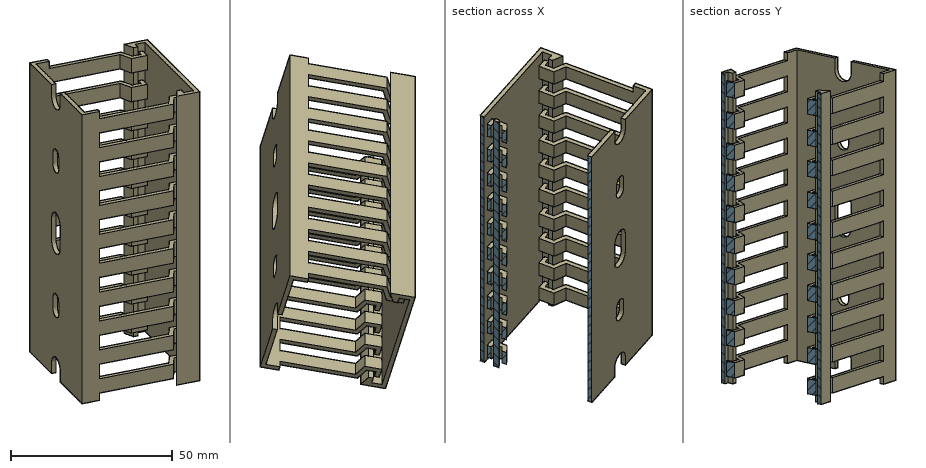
import cadquery as cq
import math

WIDTH = 40.0
DEPTH = 40.0
LENGTH = 100.0
WALL = 1.5

HALF_WIDTH = WIDTH / 2
FRONT = -DEPTH / 2
BACK = DEPTH / 2

FINGER_COUNT = 10
FINGER_PITCH = LENGTH / FINGER_COUNT
FINGER_HEIGHT = FINGER_PITCH / 2
SKIRT_DEPTH = 6.0

LIP_SLOPE = 0.5
COVER_SIDE_DEPTH = 8.0
LIP_WIDTH = 3.5
COVER_FRONT = BACK - COVER_SIDE_DEPTH
LIP_INNER_X = HALF_WIDTH - LIP_WIDTH
LIP_FRONT = COVER_FRONT + LIP_WIDTH * LIP_SLOPE
LIP_BACK = LIP_FRONT + WALL

SIDE_CLEARANCE = 0.5
END_CLEARANCE = 1.0
TIP_BACK = BACK - WALL - END_CLEARANCE
HOOK_FRONT = TIP_BACK - WALL
HOOK_X = HALF_WIDTH - WALL - SIDE_CLEARANCE
JOG_OUTER_X = LIP_INNER_X - SIDE_CLEARANCE
JOG_INNER_X = JOG_OUTER_X - WALL
JOG_OUTER_START = COVER_FRONT - END_CLEARANCE
JOG_OUTER_END = JOG_OUTER_START + (HALF_WIDTH - JOG_OUTER_X) * LIP_SLOPE

JOG_WALL_IN_Y = WALL * math.hypot(1, LIP_SLOPE)
JOG_INNER_START = JOG_OUTER_START + WALL * LIP_SLOPE - JOG_WALL_IN_Y
JOG_INNER_END = JOG_OUTER_END + WALL * LIP_SLOPE - JOG_WALL_IN_Y

LARGE_SLOT_WIDTH = 6.5
LARGE_SLOT_LENGTH = 14.0
SMALL_SLOT_WIDTH = 4.5
SMALL_SLOT_LENGTH = 8.0
SLOT_SPACING = LENGTH / 4


def extrude_mirrored(right_half):
    """Extrude the outline made of the given right half and its mirror image in X."""
    left_half = [(-x, y) for x, y in reversed(right_half)]
    outline = cq.Workplane("XY").polyline(right_half + left_half).close()
    return outline.extrude(LENGTH / 2, both=True)


def finger_gaps():
    """Full-width cutters between the fingers, with half a gap at each end."""
    gap_height = FINGER_PITCH - FINGER_HEIGHT
    gap_depth = DEPTH - SKIRT_DEPTH
    gap_centers = [(0, i * FINGER_PITCH - LENGTH / 2) for i in range(FINGER_COUNT + 1)]
    return (
        cq.Workplane("XZ", origin=(0, BACK, 0))
        .pushPoints(gap_centers)
        .rect(WIDTH, gap_height)
        .extrude(gap_depth)
    )


def mounting_slots(length, width, heights):
    """Upright slot cutters through the front wall, centred at the given heights."""
    return (
        cq.Workplane("XZ", origin=(0, FRONT + WALL, 0))
        .pushPoints([(0, z) for z in heights])
        .slot2D(length, width, 90)
        .extrude(WALL)
    )


def make_duct():
    """U-shaped duct with fingered sides and a slotted front wall."""
    right_half = [
        (HALF_WIDTH, FRONT),
        (HALF_WIDTH, JOG_OUTER_START),
        (JOG_OUTER_X, JOG_OUTER_END),
        (JOG_OUTER_X, HOOK_FRONT),
        (HOOK_X, HOOK_FRONT),
        (HOOK_X, TIP_BACK),
        (JOG_INNER_X, TIP_BACK),
        (JOG_INNER_X, JOG_INNER_END),
        (HALF_WIDTH - WALL, JOG_INNER_START),
        (HALF_WIDTH - WALL, FRONT + WALL),
    ]
    large_heights = [-LENGTH / 2, 0, LENGTH / 2]
    small_heights = [-SLOT_SPACING, SLOT_SPACING]
    return (
        extrude_mirrored(right_half)
        .cut(finger_gaps())
        .cut(mounting_slots(LARGE_SLOT_LENGTH, LARGE_SLOT_WIDTH, large_heights))
        .cut(mounting_slots(SMALL_SLOT_LENGTH, SMALL_SLOT_WIDTH, small_heights))
    )


def make_cover():
    """Flat cover with short sides that end in sloped inward lips."""
    right_half = [
        (HALF_WIDTH, BACK),
        (HALF_WIDTH, COVER_FRONT),
        (LIP_INNER_X, LIP_FRONT),
        (LIP_INNER_X, LIP_BACK),
        (HALF_WIDTH - WALL, LIP_BACK),
        (HALF_WIDTH - WALL, BACK - WALL),
    ]
    return extrude_mirrored(right_half)


duct = make_duct()
cover = make_cover()

result = cq.Compound.makeCompound([duct.solids().val(), cover.solids().val()])